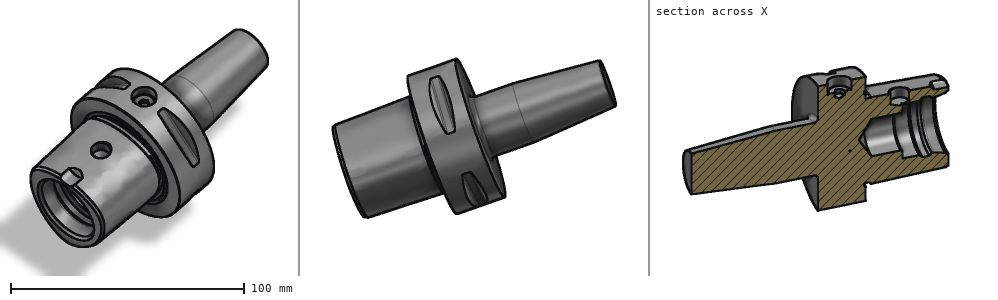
import cadquery as cq
import math


total_length = 118.0
shank_length = 38.0
nose_tip_y = total_length - shank_length

flange_radius = 31.5
flange_length = 22.0
flange_chamfer = 0.2

nose_radius = 13.5
tip_radius = 10.5
taper_length = 38.4
nose_fillet = 2.0
tip_chamfer_length = 0.7
tip_chamfer_depth = 0.2

shank_mean_radius = 22.01
lobe_height = 1.4
shank_taper_slope = 1 / 40
relief_length = 2.4
relief_radius = 22.4
relief_chamfer = 1.0
relief_step = 0.2
shank_chamfer_length = 1.4
shank_chamfer_depth = 0.7

ring_inner_radius = relief_radius
ring_outer_radius = 24.3
ring_depth = 0.7

bore_mouth_radius = 16.3
bore_taper_radius = 15.1
bore_mouth_depth = 1.5
lip_radius = 13.8
lip_start = 6.6
lip_end = 7.7
bore_groove_radius = 15.0
bore_groove_end = 13.5
bore_radius = 13.6
bore_depth = 21.1
core_radius = 10.1
core_chamfer = 0.8
core_depth = 35.4
drill_half_angle = math.radians(59)

gripper_y = 12.0
gripper_floor_distance = 28.0
gripper_floor_width = 3.8
gripper_flank_angle = math.radians(30)
gripper_fillet = 0.8

recess_radius = 5.3
screw_radius = 5.1
screw_chamfer = 0.4
recess_depth = 5.0
socket_across_flats = 4.0
socket_depth = 2.0

coding_y = -15.6
coding_radius = 4.19
coding_depth = 5.3
coding_tip_half_angle = math.radians(70)
coding_sink_half_angle = math.radians(60)

key_length = 6.5
key_radius = 5.5
key_floor_z = 17.9


def turned(points):
    """Solid of revolution about Y from (radius, y) points."""
    return cq.Workplane("XY").polyline(points).close().revolve(360, (0, 0, 0), (0, 1, 0))


def lobed_section(y, mean_radius):
    """Closed three-lobed wire in the plane at y, with one lobe towards -Z."""

    def outline(t):
        angle = 2 * math.pi * t
        support = mean_radius + lobe_height * math.cos(3 * angle)
        slope = -3 * lobe_height * math.sin(3 * angle)
        out = support * math.cos(angle) - slope * math.sin(angle)
        side = support * math.sin(angle) + slope * math.cos(angle)
        return (side, y, -out)

    return cq.Workplane("XY").parametricCurve(outline, N=120).val()


def lobed_solid(sections):
    """Ruled solid through (y, mean radius) sections."""
    wires = [lobed_section(y, radius) for y, radius in sections]
    return cq.Workplane(cq.Solid.makeLoft(wires, True))


def cone(radius, half_angle):
    """Cone with its base at the origin and its tip towards +Z."""
    profile = [(0, 0), (radius, 0), (0, radius / math.tan(half_angle))]
    return cq.Workplane("XZ").polyline(profile).close().revolve(360, (0, 0, 0), (0, 1, 0))


def pointed_drill(radius, depth, half_angle):
    """Drill along +Z from the origin, with the cone beyond the full-diameter depth."""
    tip = cone(radius, half_angle).translate((0, 0, depth))
    return cq.Workplane("XY").circle(radius).extrude(depth).union(tip)


def make_body():
    flange = turned([
        (0, 0), (flange_radius - flange_chamfer, 0), (flange_radius, flange_chamfer),
        (flange_radius, flange_length), (0, flange_length),
    ])
    nose = (
        cq.Workplane("XY")
        .moveTo(0, 0)
        .lineTo(nose_radius + nose_fillet, 0)
        .lineTo(nose_radius + nose_fillet, flange_length)
        .radiusArc((nose_radius, flange_length + nose_fillet), nose_fillet)
        .lineTo(nose_radius, nose_tip_y - taper_length)
        .lineTo(tip_radius, nose_tip_y - tip_chamfer_length)
        .lineTo(tip_radius - tip_chamfer_depth, nose_tip_y)
        .lineTo(0, nose_tip_y)
        .close()
        .revolve(360, (0, 0, 0), (0, 1, 0))
    )
    return flange.union(nose)


def make_shank():
    def radius_at(y):
        return shank_mean_radius + shank_taper_slope * (y + relief_length)

    chamfer_y = shank_chamfer_length - shank_length
    taper = lobed_solid([(-relief_length, radius_at(-relief_length)), (chamfer_y, radius_at(chamfer_y))])
    end = lobed_solid([
        (chamfer_y, radius_at(chamfer_y)),
        (-shank_length, radius_at(chamfer_y) - shank_chamfer_depth),
    ])
    neck_radius = shank_mean_radius - relief_step
    neck = lobed_solid([(ring_depth, neck_radius), (-relief_length, neck_radius)])
    neck_limit = turned([
        (0, ring_depth),
        (relief_radius, ring_depth),
        (relief_radius, relief_chamfer - relief_length),
        (relief_radius + relief_chamfer, -relief_length),
        (0, -relief_length),
    ])
    return taper.union(end).union(neck.intersect(neck_limit))


def make_ring_groove():
    middle = (ring_inner_radius + ring_outer_radius) / 2
    return (
        cq.Workplane("XY")
        .moveTo(ring_inner_radius, 0)
        .threePointArc((middle, ring_depth), (ring_outer_radius, 0))
        .close()
        .revolve(360, (0, 0, 0), (0, 1, 0))
    )


def make_bore():
    core_inner = core_radius - core_chamfer
    groove_rise = bore_groove_radius - lip_radius
    groove_fall = bore_groove_radius - bore_radius
    steps = [
        (0, 0),
        (bore_mouth_radius, 0),
        (bore_taper_radius, bore_mouth_depth),
        (lip_radius, lip_start),
        (lip_radius, lip_end),
        (bore_groove_radius, lip_end + groove_rise),
        (bore_groove_radius, bore_groove_end - groove_fall),
        (bore_radius, bore_groove_end),
        (bore_radius, bore_depth),
        (core_radius, bore_depth),
        (core_inner, bore_depth + core_chamfer),
        (core_inner, core_depth),
        (0, core_depth + core_inner / math.tan(drill_half_angle)),
    ]
    return turned(steps).translate((0, -shank_length, 0))


def make_gripper_groove(angle):
    half_floor = gripper_floor_width / 2
    depth = flange_radius - gripper_floor_distance
    half_mouth = half_floor + depth * math.tan(gripper_flank_angle)
    profile = [
        (gripper_floor_distance, gripper_y - half_floor),
        (flange_radius, gripper_y - half_mouth),
        (flange_radius, gripper_y + half_mouth),
        (gripper_floor_distance, gripper_y + half_floor),
    ]
    groove = cq.Workplane("XY").polyline(profile).close().extrude(flange_radius, both=True)
    groove = groove.faces("<X").edges("|Z").fillet(gripper_fillet)
    return groove.rotate((0, 0, 0), (0, 1, 0), angle)


def make_screw_recess():
    floor_z = flange_radius - recess_depth
    recess = cq.Workplane("XY").circle(recess_radius).extrude(recess_depth)
    edge_gap = (
        cq.Workplane("XZ")
        .polyline([
            (screw_radius - screw_chamfer, 0),
            (screw_radius, -screw_chamfer),
            (recess_radius, -screw_chamfer),
            (recess_radius, 0),
        ])
        .close()
        .revolve(360, (0, 0, 0), (0, 1, 0))
    )
    corner_radius = socket_across_flats / math.sqrt(3)
    prism = (
        cq.Workplane("XY")
        .polygon(6, socket_across_flats, circumscribed=True)
        .extrude(2 * socket_depth)
    )
    socket = prism.intersect(pointed_drill(corner_radius, socket_depth, drill_half_angle))
    socket = socket.rotate((0, 0, 0), (1, 0, 0), 180)
    return recess.union(edge_gap).union(socket).translate((0, gripper_y, floor_z))


def make_coding_hole():
    top_z = shank_mean_radius - lobe_height + shank_taper_slope * (coding_y + relief_length)
    flat_curvature_radius = shank_mean_radius + 8 * lobe_height
    rim_drop = coding_radius ** 2 / (2 * flat_curvature_radius)
    drill = pointed_drill(coding_radius, coding_depth, coding_tip_half_angle)
    sink_height = 2 * rim_drop
    sink_radius = coding_radius + sink_height * math.tan(coding_sink_half_angle)
    sink = cone(sink_radius, coding_sink_half_angle).translate((0, 0, rim_drop - sink_height))
    cutter = drill.union(sink)
    return cutter.rotate((0, 0, 0), (1, 0, 0), 180).translate((0, coding_y, top_z))


def make_key_slot():
    slot = pointed_drill(key_radius, key_length, math.radians(45))
    return slot.rotate((0, 0, 0), (1, 0, 0), -90).translate((0, -shank_length, key_floor_z + key_radius))


result = make_body().cut(make_ring_groove()).union(make_shank()).cut(make_bore())
for quarter in range(4):
    result = result.cut(make_gripper_groove(45 + 90 * quarter))
result = result.cut(make_screw_recess()).cut(make_coding_hole()).cut(make_key_slot())